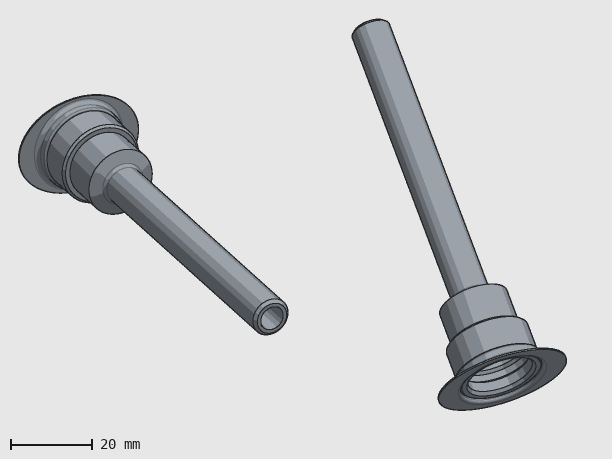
import cadquery as cq
import math

TOTAL_LENGTH = 101.3

FLANGE_WIDTH_Y = 33.0
FLANGE_HEIGHT_Z = 25.9
FLANGE_THICKNESS = 0.4
COLLAR_RADIUS = 22.4 / 2
COLLAR_END_X = 3.7
COLLAR_END_ROUND = 0.5
COLLAR_FILLET = 1.1
MOUTH_ROUND = 0.8

HEAD_RADIUS = 21.2 / 2
HEAD_FRONT_X = 0.9
HEAD_FRONT_CHAMFER = 0.4
HEAD_END_X = 12.3
HEAD_END_CHAMFER = 0.6
NECK_RADIUS = 17.5 / 2
NECK_END_X = 22.2
TUBE_RADIUS = 9.7 / 2
SHOULDER_SLOPE = math.radians(70)
SHOULDER_FILLET = 1.0
TIP_CHAMFER = 0.8

SOCKET_RADIUS = 17.8 / 2
LIP_RADIUS = 16.6 / 2
LIP_START_X = 1.8
LIP_END_X = 4.4
GROOVE_START_X = LIP_END_X + SOCKET_RADIUS - LIP_RADIUS
GROOVE_END_X = 6.8
SEAT_START_X = 7.6
SEAT_END_X = 9.0
FUNNEL_SLOPE = math.radians(60)
FUNNEL_END_RADIUS = 13.1 / 2
FUNNEL_END_X = SEAT_END_X + (LIP_RADIUS - FUNNEL_END_RADIUS) / math.tan(FUNNEL_SLOPE)
COUNTERBORE_LENGTH = 0.8
COUNTERBORE_END_X = FUNNEL_END_X + COUNTERBORE_LENGTH
THROAT_RADIUS = 12.0 / 2
THROAT_START_X = COUNTERBORE_END_X + (FUNNEL_END_RADIUS - THROAT_RADIUS) / math.tan(FUNNEL_SLOPE)
THROAT_END_X = 20.8
BORE_RADIUS = 6.2 / 2
BORE_START_X = THROAT_END_X + (THROAT_RADIUS - BORE_RADIUS) / math.tan(FUNNEL_SLOPE)


def revolve_about_x(outline):
    """Turn a closed outline, drawn as (x, radius), a full turn about the X axis."""
    return outline.close().revolve(360, (0, 0, 0), (1, 0, 0))


def cylinder_along_x(radius, end_x):
    return cq.Workplane("YZ").circle(radius).extrude(end_x)


def quarter_arc_sag(radius):
    """Distance from a rounded corner's tangent lines to the middle of its arc."""
    return radius * (1 - math.sqrt(0.5))


def make_flange_collar():
    """Thin elliptical flange on a short collar, with a rounded mouth."""
    flange = cq.Workplane("YZ").ellipse(FLANGE_WIDTH_Y / 2, FLANGE_HEIGHT_Z / 2).extrude(FLANGE_THICKNESS)
    fillet_end_x = FLANGE_THICKNESS + COLLAR_FILLET
    fillet_dip = quarter_arc_sag(COLLAR_FILLET)
    end_dip = quarter_arc_sag(COLLAR_END_ROUND)
    sleeve = revolve_about_x(
        cq.Workplane("XY")
        .moveTo(FLANGE_THICKNESS, 0)
        .lineTo(FLANGE_THICKNESS, COLLAR_RADIUS + COLLAR_FILLET)
        .threePointArc(
            (FLANGE_THICKNESS + fillet_dip, COLLAR_RADIUS + fillet_dip),
            (fillet_end_x, COLLAR_RADIUS),
        )
        .lineTo(COLLAR_END_X - COLLAR_END_ROUND, COLLAR_RADIUS)
        .threePointArc(
            (COLLAR_END_X - end_dip, COLLAR_RADIUS - end_dip),
            (COLLAR_END_X, COLLAR_RADIUS - COLLAR_END_ROUND),
        )
        .lineTo(COLLAR_END_X, 0)
    )
    bore = cylinder_along_x(HEAD_RADIUS, COLLAR_END_X)
    mouth_dip = quarter_arc_sag(MOUTH_ROUND)
    mouth = revolve_about_x(
        cq.Workplane("XY")
        .moveTo(0, 0)
        .lineTo(0, HEAD_RADIUS + MOUTH_ROUND)
        .threePointArc((mouth_dip, HEAD_RADIUS + mouth_dip), (MOUTH_ROUND, HEAD_RADIUS))
        .lineTo(MOUTH_ROUND, 0)
    )
    return flange.union(sleeve).cut(bore).cut(mouth)


def make_cannula():
    """Stepped hollow head that narrows into a long tube."""
    fillet_start_radius = TUBE_RADIUS + SHOULDER_FILLET * (1 - math.cos(SHOULDER_SLOPE))
    fillet_start_x = NECK_END_X + (NECK_RADIUS - fillet_start_radius) / math.tan(SHOULDER_SLOPE)
    fillet_end_x = fillet_start_x + SHOULDER_FILLET * math.sin(SHOULDER_SLOPE)
    fillet_middle = (
        fillet_end_x - SHOULDER_FILLET * math.sin(SHOULDER_SLOPE / 2),
        TUBE_RADIUS + SHOULDER_FILLET * (1 - math.cos(SHOULDER_SLOPE / 2)),
    )
    head_outside = [
        (HEAD_FRONT_X, HEAD_RADIUS - HEAD_FRONT_CHAMFER),
        (HEAD_FRONT_X + HEAD_FRONT_CHAMFER, HEAD_RADIUS),
        (HEAD_END_X - HEAD_END_CHAMFER, HEAD_RADIUS),
        (HEAD_END_X, HEAD_RADIUS - HEAD_END_CHAMFER),
        (HEAD_END_X, NECK_RADIUS),
        (NECK_END_X, NECK_RADIUS),
        (fillet_start_x, fillet_start_radius),
    ]
    tube_outside = [
        (fillet_end_x, TUBE_RADIUS),
        (TOTAL_LENGTH - TIP_CHAMFER, TUBE_RADIUS),
        (TOTAL_LENGTH, TUBE_RADIUS - TIP_CHAMFER),
    ]
    inside = [
        (HEAD_FRONT_X, SOCKET_RADIUS),
        (LIP_START_X, LIP_RADIUS),
        (LIP_END_X, LIP_RADIUS),
        (GROOVE_START_X, SOCKET_RADIUS),
        (GROOVE_END_X, SOCKET_RADIUS),
        (SEAT_START_X, LIP_RADIUS),
        (SEAT_END_X, LIP_RADIUS),
        (FUNNEL_END_X, FUNNEL_END_RADIUS),
        (COUNTERBORE_END_X, FUNNEL_END_RADIUS),
        (THROAT_START_X, THROAT_RADIUS),
        (THROAT_END_X, THROAT_RADIUS),
        (BORE_START_X, BORE_RADIUS),
        (TOTAL_LENGTH, BORE_RADIUS),
    ]
    return revolve_about_x(
        cq.Workplane("XY")
        .polyline(head_outside)
        .threePointArc(fillet_middle, tube_outside[0])
        .polyline(tube_outside + inside[::-1], includeCurrent=False)
    )


flange_collar = make_flange_collar()
cannula = make_cannula()

result = cq.Compound.makeCompound([flange_collar.val(), cannula.val()])